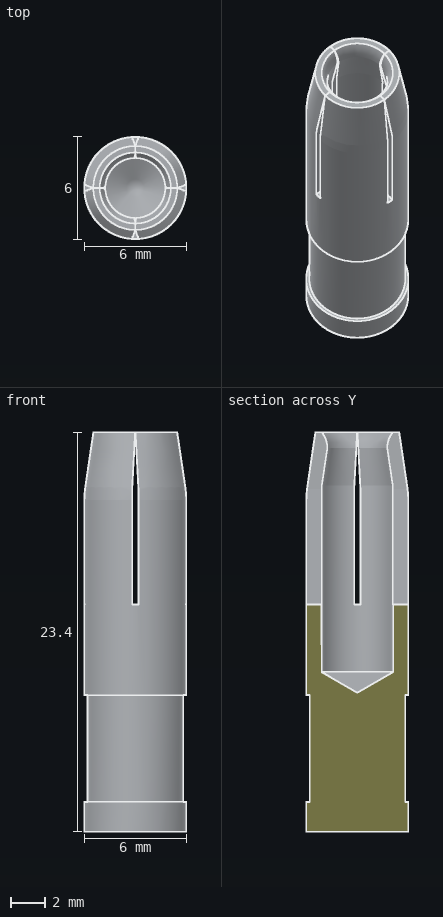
import cadquery as cq
import math

length = 23.4
body_radius = 3.0
neck_radius = 2.8
flange_height = 1.75
body_bottom = 8.0

tip_radius = 2.45
taper_angle = math.radians(8.5)
shoulder_radius = 5.15

bore_radius = 2.08
throat_radius = 1.75
mouth_radius = bore_radius
mouth_depth = 0.94
bore_depth = 14.05
floor_cone_angle = math.radians(60)

slot_depth = 10.09
slot_width = 0.35
slot_tip_width = 0.005
slot_taper_depth = 3.32


def outer_sleeve():
    """Revolved body with the base flange, the neck and the tapered tip."""
    corner_z = length - (body_radius - tip_radius) / math.tan(taper_angle)
    shoulder_z = corner_z - shoulder_radius * math.tan(taper_angle / 2)
    center_r = body_radius - shoulder_radius

    def shoulder_point(angle):
        return (center_r + shoulder_radius * math.cos(angle), shoulder_z + shoulder_radius * math.sin(angle))

    return (
        cq.Workplane("XZ")
        .lineTo(body_radius, 0)
        .lineTo(body_radius, flange_height)
        .lineTo(neck_radius, flange_height)
        .lineTo(neck_radius, body_bottom)
        .lineTo(body_radius, body_bottom)
        .lineTo(body_radius, shoulder_z)
        .threePointArc(shoulder_point(taper_angle / 2), shoulder_point(taper_angle))
        .lineTo(tip_radius, length)
        .lineTo(0, length)
        .close()
        .revolve(360, (0, 0, 0), (0, 1, 0))
    )


def bore():
    """Blind bore that narrows to the throat along the outer taper, then rounds out to the mouth."""
    floor_z = length - bore_depth
    throat_z = length - mouth_depth
    taper_z = throat_z - (bore_radius - throat_radius) / math.tan(taper_angle)
    flare = mouth_radius - throat_radius
    mouth_round = (mouth_depth**2 + flare**2) / (2 * flare)
    half_sweep = math.asin(mouth_depth / mouth_round) / 2
    mouth_middle = (
        throat_radius + mouth_round * (1 - math.cos(half_sweep)),
        throat_z + mouth_round * math.sin(half_sweep),
    )
    return (
        cq.Workplane("XZ")
        .moveTo(0, floor_z - bore_radius / math.tan(floor_cone_angle))
        .lineTo(bore_radius, floor_z)
        .lineTo(bore_radius, taper_z)
        .lineTo(throat_radius, throat_z)
        .threePointArc(mouth_middle, (mouth_radius, length))
        .lineTo(0, length)
        .close()
        .revolve(360, (0, 0, 0), (0, 1, 0))
    )


def slot(plane):
    """Slot through both walls, drawn on the given vertical plane."""
    half_width = slot_width / 2
    half_tip = slot_tip_width / 2
    bottom_z = length - slot_depth
    taper_z = length - slot_taper_depth
    return (
        cq.Workplane(plane)
        .moveTo(-half_width, bottom_z)
        .lineTo(half_width, bottom_z)
        .lineTo(half_width, taper_z)
        .lineTo(half_tip, length)
        .lineTo(-half_tip, length)
        .lineTo(-half_width, taper_z)
        .close()
        .extrude(body_radius, both=True)
    )


result = outer_sleeve().cut(bore())
for slot_plane in ("XZ", "YZ"):
    result = result.cut(slot(slot_plane))